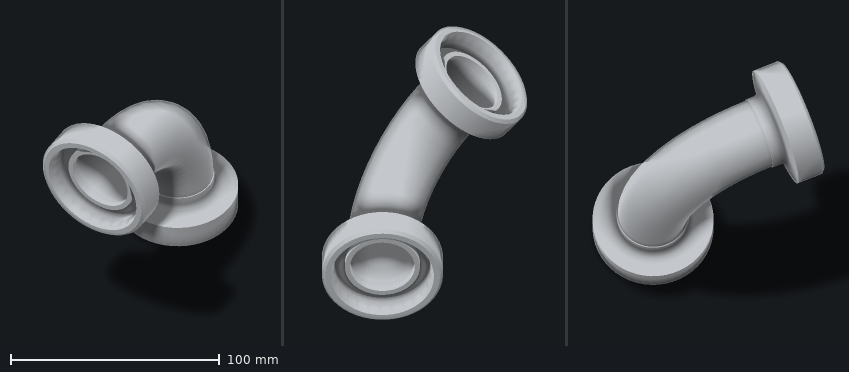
import cadquery as cq
import math

overall_length = 106.5
flange_diameter = 58.0
flange_radius = flange_diameter / 2
axis_offset = overall_length - flange_radius

bore_radius = 31.0 / 2
pipe_radius = 34.0 / 2

collar_radius = 35.0 / 2
collar_height = 22.5
rim_height = 14.0
rim_chamfer = 1.5
back_slope = math.radians(10)
neck_fillet = 3.0

mouth_radius = 49.4 / 2
socket_radius = 45.8 / 2
taper_depth = 7.0
socket_depth = 10.5
spigot_radius = 36.0 / 2
spigot_depth = 7.0

bend_radius = axis_offset - collar_height


def make_flange():
    """Flange on the Z axis, mating face at Z = 0 and collar pointing up."""
    fillet_centre_radius = collar_radius + neck_fillet
    slope_end_radius = fillet_centre_radius - neck_fillet * math.sin(back_slope)
    slope_end_height = rim_height + (flange_radius - slope_end_radius) * math.tan(back_slope)
    fillet_centre_height = slope_end_height + neck_fillet * math.cos(back_slope)
    mid_angle = (math.pi / 2 + back_slope + math.pi) / 2
    fillet_middle = (
        fillet_centre_radius + neck_fillet * math.cos(mid_angle),
        fillet_centre_height - neck_fillet * math.sin(mid_angle),
    )
    return (
        cq.Workplane("XZ")
        .moveTo(bore_radius, spigot_depth)
        .lineTo(spigot_radius, spigot_depth)
        .lineTo(spigot_radius, socket_depth)
        .lineTo(socket_radius, socket_depth)
        .lineTo(socket_radius, taper_depth)
        .lineTo(mouth_radius, 0)
        .lineTo(flange_radius - rim_chamfer, 0)
        .lineTo(flange_radius, rim_chamfer)
        .lineTo(flange_radius, rim_height)
        .lineTo(slope_end_radius, slope_end_height)
        .threePointArc(fillet_middle, (collar_radius, fillet_centre_height))
        .lineTo(collar_radius, collar_height)
        .lineTo(bore_radius, collar_height)
        .close()
        .revolve(360, (0, 0), (0, 1))
    )


def make_elbow():
    """Hollow quarter bend from the top of the lower collar round to the -Y side."""
    return (
        cq.Workplane("XY", origin=(0, 0, collar_height))
        .circle(pipe_radius)
        .circle(bore_radius)
        .revolve(90, (0, -bend_radius), (1, -bend_radius))
    )


flange_placements = [
    (0, (0, 0, 0)),
    (-90, (0, -axis_offset, axis_offset)),
]
flanges = [
    make_flange().rotate((0, 0, 0), (1, 0, 0), turn).translate(position)
    for turn, position in flange_placements
]
elbow = make_elbow()

result = cq.Compound.makeCompound([elbow.val(), *[flange.val() for flange in flanges]])